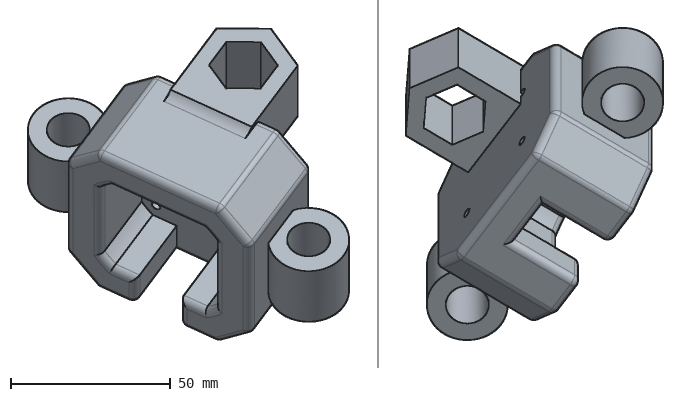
import cadquery as cq
import math


BODY_SIZE = 66.85
BODY_DEPTH = 38.1
BODY_CORNER = 11.5
EDGE_RADIUS = 2.54

WALL = 12.7
FLOOR_THICKNESS = 12.7
POCKET_SIZE = BODY_SIZE - 2 * WALL
POCKET_CORNER_DIAMETER = 53.2
SLOT_WIDTH = 16.0

SCREW_DIAMETER = 3.0
SCREW_SPACING = 31.0

BOSS_DIAMETER = 25.4
BOSS_HEIGHT = 25.4
BOSS_BORE = 13.46
OVERALL_WIDTH = 112.53
BOSS_OFFSET_X = (OVERALL_WIDTH - BOSS_DIAMETER) / 2
BOSS_CENTRE_Z = -1.0

BRACKET_WIDTH = 29.5
BRACKET_HEIGHT = 25.4
BRACKET_RISE = 1.4
BRACKET_REACH = 32.02
HEX_HOLE_WIDTH = 18.65
BRACKET_OVERLAP = 5.0
BLEND_LENGTH = 4.07
BLEND_EMBED = 1.0

BODY_HALF = BODY_SIZE / 2
FRONT_Y = -BODY_DEPTH / 2
BACK_Y = BODY_DEPTH / 2
FLOOR_Y = BACK_Y - FLOOR_THICKNESS
POCKET_DEPTH = FLOOR_Y - FRONT_Y
BRACKET_ROOT_Y = BACK_Y - BRACKET_OVERLAP
BRACKET_TOP = BODY_HALF + BRACKET_RISE
TOLERANCE = 0.01


def hex_diameter(across_flats):
    """Corner-to-corner size of a hexagon."""
    return across_flats / math.cos(math.pi / 6)


def hex_prism(plane, across_flats):
    """Hexagonal prism of bracket height with one corner pointing along +Y."""
    turned = plane.transformed(rotate=(0, 0, 90))
    return turned.polygon(6, hex_diameter(across_flats)).extrude(BRACKET_HEIGHT)


def make_octagon_block():
    """Square block with its four long edges, along Y, cut at 45 degrees."""
    return cq.Workplane("XY").box(BODY_SIZE, BODY_DEPTH, BODY_SIZE).edges("|Y").chamfer(BODY_CORNER)


def flare_mouth(core):
    """Widen the front end of a straight recess core to match a rounded rim."""
    blank = cq.Workplane("XY").box(BODY_SIZE, POCKET_DEPTH, BODY_SIZE)
    blank = blank.translate((0, (FRONT_Y + FLOOR_Y) / 2, 0))
    frame = blank.cut(core)
    rim_edges = frame.faces("<Y").val().innerWires()[0].Edges()
    return blank.cut(frame.newObject(rim_edges).fillet(EDGE_RADIUS))


def make_pocket():
    """Square recess with a rounded rim, its corners cut off by a larger round."""
    floor = cq.Workplane("XZ", origin=(0, FLOOR_Y, 0))
    square = floor.rect(POCKET_SIZE, POCKET_SIZE).extrude(POCKET_DEPTH)
    cylinder = floor.circle(POCKET_CORNER_DIAMETER / 2).extrude(POCKET_DEPTH)
    return flare_mouth(square).intersect(flare_mouth(cylinder))


def make_slot():
    """Cable slot from the housing centre out through the bottom."""
    slot = cq.Workplane("XY").box(SLOT_WIDTH, POCKET_DEPTH, BODY_HALF, centered=(True, False, False))
    return slot.translate((0, FRONT_Y, -BODY_HALF))


def is_on_skin(edge):
    """True for edges on the outer skin: front and back rims, long corners and slot mouth."""
    box = edge.BoundingBox()
    on_front = box.ymax < FRONT_Y + TOLERANCE
    on_back = box.ymin > BACK_Y - TOLERANCE
    centre = edge.Center()
    on_side = max(abs(centre.x), abs(centre.z)) > BODY_HALF - TOLERANCE
    return on_front or on_back or on_side


def make_housing():
    housing = make_octagon_block().cut(make_slot())
    skin_edges = [edge for edge in housing.edges().vals() if is_on_skin(edge)]
    return housing.newObject(skin_edges).fillet(EDGE_RADIUS).cut(make_pocket())


def screw_holes():
    return (
        cq.Workplane("XZ", origin=(0, BACK_Y, 0))
        .rect(SCREW_SPACING, SCREW_SPACING, forConstruction=True)
        .vertices()
        .circle(SCREW_DIAMETER / 2)
        .extrude(BODY_DEPTH)
    )


def make_boss(side):
    """Vertical tube on one flank of the housing; side is -1 or 1."""
    base = (side * BOSS_OFFSET_X, 0, BOSS_CENTRE_Z - BOSS_HEIGHT / 2)
    return (
        cq.Workplane("XY", origin=base)
        .circle(BOSS_DIAMETER / 2)
        .circle(BOSS_BORE / 2)
        .extrude(BOSS_HEIGHT)
    )


def make_bracket():
    """Arm with a pointed end and a hexagonal through hole."""
    hex_y = BACK_Y + BRACKET_REACH - hex_diameter(BRACKET_WIDTH) / 2
    plane = cq.Workplane("XY", origin=(0, hex_y, BRACKET_TOP - BRACKET_HEIGHT))
    arm_length = hex_y - BRACKET_ROOT_Y
    arm = plane.center(0, -arm_length / 2).rect(BRACKET_WIDTH, arm_length).extrude(BRACKET_HEIGHT)
    return arm.union(hex_prism(plane, BRACKET_WIDTH)).cut(hex_prism(plane, HEX_HOLE_WIDTH))


def make_blend():
    """Concave ramp from the bracket top down to the housing top, tangent to the housing."""
    end_y = BRACKET_ROOT_Y - BLEND_LENGTH
    radius = (BLEND_LENGTH**2 + BRACKET_RISE**2) / (2 * BRACKET_RISE)
    half_angle = math.atan2(BRACKET_RISE, BLEND_LENGTH)
    middle = (
        end_y + radius * math.sin(half_angle),
        BODY_HALF + radius * (1 - math.cos(half_angle)),
    )
    return (
        cq.Workplane("YZ", origin=(-BRACKET_WIDTH / 2, 0, 0))
        .moveTo(BRACKET_ROOT_Y, BRACKET_TOP)
        .threePointArc(middle, (end_y, BODY_HALF))
        .lineTo(end_y, BODY_HALF - BLEND_EMBED)
        .lineTo(BRACKET_ROOT_Y, BODY_HALF - BLEND_EMBED)
        .close()
        .extrude(BRACKET_WIDTH)
    )


result = make_housing().cut(screw_holes()).union(make_bracket()).union(make_blend())
for side in (-1, 1):
    result = result.union(make_boss(side))